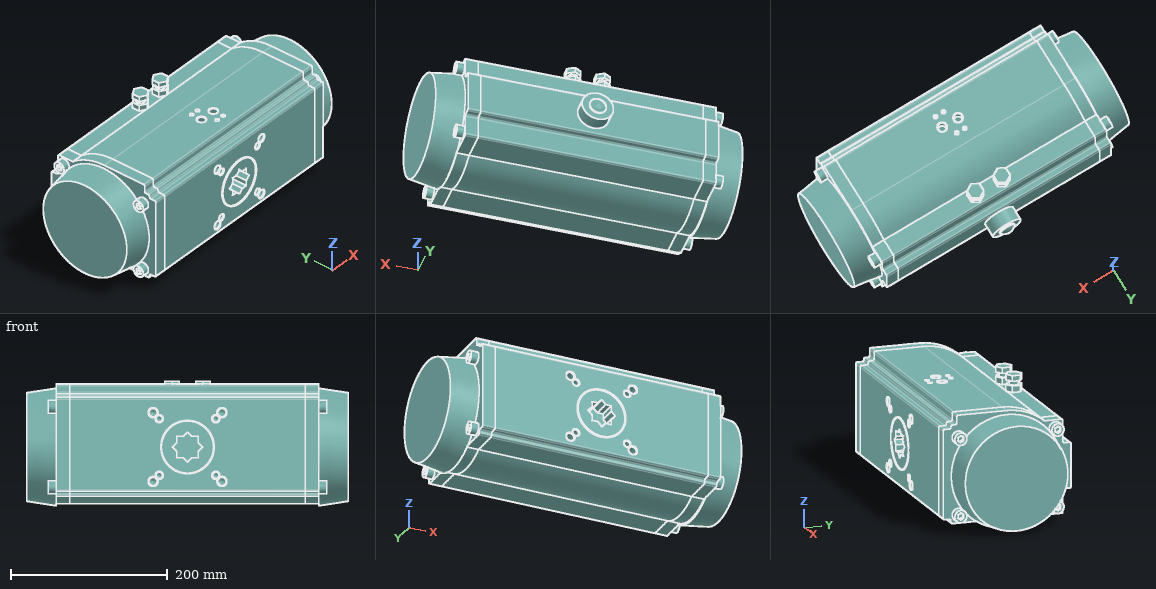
import cadquery as cq
import math


overall_length = 411.0
flange_half_length = 167.5
housing_half_length = 150.5

front_y = -86.5
back_y = 87.0
top_z = 80.5
bottom_z = -63.0
edge_radius = 2.25

ledge_y = -68.0
ledge_z = 68.2
lip_y = -75.5
lip_top_z = 63.3
lip_bottom_z = -56.7

side_wall_y = 76.0
shoulder_z = 62.0
pad_half_height = 30.5

belly_radius = 72.7

cap_base_radius = 75.2
cap_end_radius = 69.5
screw_y = 65.8
screw_z = 51.5
screw_head_radius = 8.2
screw_head_height = 10.3
screw_socket_corners = 9.0
screw_socket_depth = 5.0

hub_radius = 21.0
hub_end_y = 106.5
collar_height = 1.2
dome_radius = 11.0
dome_height = 5.5
pinion_radius = 33.3
pinion_gap = 1.0
pinion_gap_depth = 1.2
star_side = 27.0
star_depth = 24.5

mount_chamfer = 1.03
port_chamfer = 1.0
valve_hole_chamfer = 0.5

large_mount_offset = 44.0
large_mount_diameter = 10.5
small_mount_offset = 36.0
small_mount_diameter = 8.2
mount_depth = 20.5

port_x = 12.0
port_y = -33.0
port_diameter = 11.5
port_depth = 16.5
valve_hole_y_offset = 16.25
valve_hole_diameter = 4.5
valve_hole_depth = 8.2

drill_point_angle = 118.0

bolt_x = 19.7
bolt_y = 61.5
bolt_hex_corners = 21.8
bolt_rod_diameter = 12.0
bolt_nut_top_z = 70.5
bolt_head_bottom_z = 77.0
bolt_top_z = 84.3


def body_section(start_x, length):
    """Extruded cross-section shared by the housing and the cap flanges; the crown is an arc."""
    shoulder_y = math.sqrt(top_z**2 - shoulder_z**2)
    half_arc_angle = math.acos(shoulder_z / top_z) / 2
    arc_middle = (top_z * math.sin(half_arc_angle), top_z * math.cos(half_arc_angle))
    block = (
        cq.Workplane("YZ", origin=(start_x, 0, 0))
        .moveTo(0, top_z)
        .lineTo(ledge_y, top_z)
        .lineTo(ledge_y, ledge_z)
        .lineTo(lip_y, ledge_z)
        .lineTo(lip_y, lip_top_z)
        .lineTo(front_y, lip_top_z)
        .lineTo(front_y, lip_bottom_z)
        .lineTo(lip_y, lip_bottom_z)
        .lineTo(lip_y, bottom_z)
        .lineTo(side_wall_y, bottom_z)
        .lineTo(side_wall_y, -pad_half_height)
        .lineTo(back_y, -pad_half_height)
        .lineTo(back_y, pad_half_height)
        .lineTo(side_wall_y, pad_half_height)
        .lineTo(side_wall_y, shoulder_z)
        .lineTo(shoulder_y, shoulder_z)
        .threePointArc(arc_middle, (0, top_z))
        .close()
        .extrude(length)
    )
    corner_edges = block.edges("|X").filter(lambda edge: abs(edge.Center().y) > shoulder_y + edge_radius)
    block = corner_edges.fillet(edge_radius)
    belly = cq.Workplane("YZ", origin=(start_x, 0, 0)).circle(belly_radius).extrude(length)
    return block.union(belly)


def drilled_hole(plane, diameter, depth, chamfer):
    """Tool for a blind hole with a chamfered mouth on the plane and a conical drill point."""
    radius = diameter / 2
    point_depth = radius / math.tan(math.radians(drill_point_angle / 2))
    profile = (
        cq.Workplane("XY")
        .polyline(
            [
                (0, 0),
                (radius + chamfer, 0),
                (radius, -chamfer),
                (radius, -depth),
                (0, -depth - point_depth),
            ]
        )
        .close()
        .revolve(360, (0, 0, 0), (0, 1, 0))
        .rotate((0, 0, 0), (1, 0, 0), 90)
    )
    return cq.Workplane(profile.val().moved(cq.Location(plane)))


def front_hole(x, z, diameter):
    plane = cq.Plane(origin=(x, front_y, z), xDir=(1, 0, 0), normal=(0, -1, 0))
    return drilled_hole(plane, diameter, mount_depth, mount_chamfer)


def top_hole(x, y, diameter, depth, chamfer):
    plane = cq.Plane(origin=(x, y, top_z), xDir=(1, 0, 0), normal=(0, 0, 1))
    return drilled_hole(plane, diameter, depth, chamfer)


def shaft_hub():
    """Round hub on the back pad, carrying a domed screw on a low collar."""
    dome_base_y = hub_end_y + collar_height
    dome_top_y = dome_base_y + dome_height
    sphere_radius = (dome_radius**2 + dome_height**2) / (2 * dome_height)
    sphere_y = dome_top_y - sphere_radius
    half_dome_angle = math.asin(dome_radius / sphere_radius) / 2
    dome_middle = (
        sphere_radius * math.sin(half_dome_angle),
        sphere_y + sphere_radius * math.cos(half_dome_angle),
    )
    return (
        cq.Workplane("XY")
        .lineTo(hub_radius, 0)
        .lineTo(hub_radius, hub_end_y)
        .lineTo(dome_radius, hub_end_y)
        .lineTo(dome_radius, dome_base_y)
        .threePointArc(dome_middle, (0, dome_top_y))
        .close()
        .revolve(360, (0, 0, 0), (0, 1, 0))
    )


def pinion_gap_ring():
    return (
        cq.Workplane("XZ", origin=(0, front_y, 0))
        .circle(pinion_radius + pinion_gap)
        .circle(pinion_radius)
        .extrude(-pinion_gap_depth)
    )


def star_socket():
    """Eight-pointed drive socket: two squares turned 45 degrees."""
    square = cq.Workplane("XZ", origin=(0, front_y, 0)).rect(star_side, star_side).extrude(-star_depth)
    return square.union(square.rotate((0, 0, 0), (0, 1, 0), 45))


def bolt_hexagon(x, start_z, end_z):
    """Hexagonal prism with corners pointing along Y."""
    return (
        cq.Workplane("XY", origin=(x, bolt_y, start_z))
        .polygon(6, bolt_hex_corners)
        .extrude(end_z - start_z)
        .rotate((x, bolt_y, 0), (x, bolt_y, 1), 90)
    )


def stop_bolt(x):
    """Lock nut, threaded rod and hexagon head of one stroke stop."""
    rod = (
        cq.Workplane("XY", origin=(x, bolt_y, shoulder_z))
        .circle(bolt_rod_diameter / 2)
        .extrude(bolt_top_z - shoulder_z)
    )
    nut = bolt_hexagon(x, shoulder_z, bolt_nut_top_z)
    head = bolt_hexagon(x, bolt_head_bottom_z, bolt_top_z)
    return rod.union(nut).union(head)


def make_housing():
    housing = body_section(-housing_half_length, 2 * housing_half_length).union(shaft_hub())
    for x in (-bolt_x, bolt_x):
        housing = housing.union(stop_bolt(x))
    housing = housing.cut(pinion_gap_ring()).cut(star_socket())
    for x_side in (-1, 1):
        for z_side in (-1, 1):
            for offset, diameter in (
                (large_mount_offset, large_mount_diameter),
                (small_mount_offset, small_mount_diameter),
            ):
                housing = housing.cut(front_hole(x_side * offset, z_side * offset, diameter))
    for side in (-1, 1):
        port = top_hole(side * port_x, port_y, port_diameter, port_depth, port_chamfer)
        housing = housing.cut(port)
        valve_hole_y = port_y - side * valve_hole_y_offset
        for x in (0, side * port_x):
            valve_hole = top_hole(x, valve_hole_y, valve_hole_diameter, valve_hole_depth, valve_hole_chamfer)
            housing = housing.cut(valve_hole)
    return housing


def cap_screw(y, z):
    """Socket screw head standing on the right-hand flange."""
    return (
        cq.Workplane("YZ", origin=(flange_half_length, y, z))
        .circle(screw_head_radius)
        .extrude(screw_head_height)
    )


def screw_socket(y, z):
    hexagon = (
        cq.Workplane("YZ", origin=(flange_half_length + screw_head_height, y, z))
        .polygon(6, screw_socket_corners)
        .extrude(-screw_socket_depth)
    )
    return hexagon.rotate((0, y, z), (1, y, z), 90)


def make_right_cap():
    cap_end_x = overall_length / 2
    cone = (
        cq.Workplane("XZ")
        .polyline(
            [
                (flange_half_length, 0),
                (flange_half_length, cap_base_radius),
                (cap_end_x, cap_end_radius),
                (cap_end_x, 0),
            ]
        )
        .close()
        .revolve(360, (0, 0, 0), (1, 0, 0))
    )
    cap = body_section(housing_half_length, flange_half_length - housing_half_length).union(cone)
    corners = [(y, z) for y in (-screw_y, screw_y) for z in (-screw_z, screw_z)]
    for y, z in corners:
        cap = cap.union(cap_screw(y, z))
    for y, z in corners:
        cap = cap.cut(screw_socket(y, z))
    return cap


housing = make_housing()
right_cap = make_right_cap()
end_caps = [right_cap, right_cap.mirror("YZ")]

result = cq.Compound.makeCompound([housing.val(), *[cap.val() for cap in end_caps]])